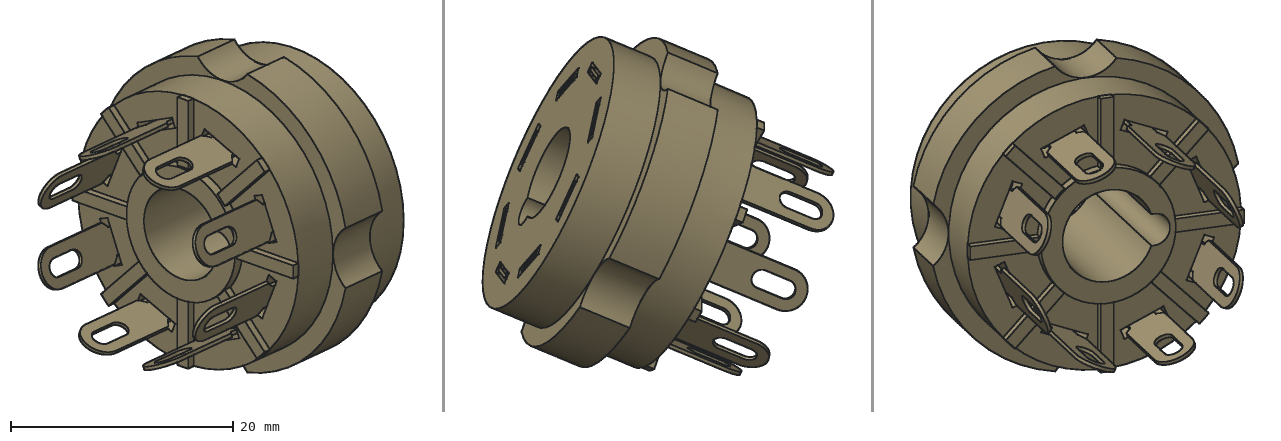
import cadquery as cq
import math


body_radius = 13.2
face_radius = 13.18
flange_start = 4.68
flange_end = 9.7
face_depth = 14.4
overall_depth = 24.0

flange_radius = 15.0
overall_width = 29.4
notch_floor = 13.23

boss_radius = 6.5
boss_depth = 15.4
bore_radius = 4.4
keyway_radius = 1.53

contact_count = 8
contact_step = 360 / contact_count
contact_pitch_radius = 10.0

rib_width = 1.3
rib_depth = 15.15

slot_length = 4.5
slot_width = 1.0

blade_width = 3.97
blade_thickness = 0.35
eyelet_width = 1.75
eyelet_spacing = 2.5
shoulder_depth = 14.95
shoulder_chamfer = 0.65
channel_width = 3.35
channel_depth = 12.65


def disc(radius, start, end):
    """Disc on the socket axis between two depths."""
    return cq.Workplane("XZ", origin=(0, -start, 0)).circle(radius).extrude(end - start)


def around_axis(shape, angle):
    """Turn a shape about the socket axis."""
    return shape.rotate((0, 0, 0), (0, 1, 0), angle)


def make_flange():
    """Flange ring whose notch corners set the overall width."""
    flange = disc(flange_radius, flange_start, flange_end)
    corner_height = overall_width / 2
    corner_offset = math.sqrt(flange_radius**2 - corner_height**2)
    notch_sag = corner_height - notch_floor
    notch_radius = (corner_offset**2 + notch_sag**2) / (2 * notch_sag)
    notch = disc(notch_radius, flange_start, flange_end).translate((0, 0, notch_floor + notch_radius))
    for angle in (0, 90, 180, 270):
        flange = flange.cut(around_axis(notch, angle))
    return flange


def make_ribs():
    """Radial ribs on the face, from the boss to the outer rim."""
    rim = disc(body_radius, face_depth, rib_depth)
    bar = cq.Workplane("XZ", origin=(0, -face_depth, 0))
    bar = bar.rect(2 * body_radius, rib_width).extrude(rib_depth - face_depth)
    bars = bar
    for index in range(1, contact_count // 2):
        bars = bars.union(around_axis(bar, index * contact_step))
    return bars.intersect(rim)


def make_housing():
    rear = disc(body_radius, 0, flange_end)
    front = (
        cq.Workplane("XZ", origin=(0, -flange_end, 0))
        .circle(body_radius)
        .workplane(offset=face_depth - flange_end)
        .circle(face_radius)
        .loft()
    )
    boss = disc(boss_radius, face_depth, boss_depth)
    housing = rear.union(front).union(make_flange()).union(make_ribs()).union(boss)

    bore = disc(bore_radius, 0, boss_depth)
    keyway = disc(keyway_radius, 0, boss_depth).translate((bore_radius, 0, 0))
    housing = housing.cut(bore).cut(keyway)

    slot = (
        cq.Workplane("XZ")
        .center(0, contact_pitch_radius)
        .rect(slot_length, slot_width)
        .extrude(face_depth)
    )
    for index in range(contact_count):
        housing = housing.cut(around_axis(slot, (index + 0.5) * contact_step))
    return housing.solids()


def make_contact(angle):
    """Solder contact: a round-ended blade, a narrow neck and a U-shaped channel inside the slot."""
    half_blade = blade_width / 2
    half_neck = half_blade - shoulder_chamfer
    half_channel = channel_width / 2
    neck_end = shoulder_depth - shoulder_chamfer
    tip_centre = overall_depth - half_blade

    strip = (
        cq.Workplane("XY", origin=(0, 0, contact_pitch_radius - blade_thickness / 2))
        .moveTo(half_channel, 0)
        .lineTo(half_channel, -channel_depth)
        .lineTo(half_neck, -channel_depth)
        .lineTo(half_neck, -neck_end)
        .lineTo(half_blade, -shoulder_depth)
        .lineTo(half_blade, -tip_centre)
        .threePointArc((0, -overall_depth), (-half_blade, -tip_centre))
        .lineTo(-half_blade, -shoulder_depth)
        .lineTo(-half_neck, -neck_end)
        .lineTo(-half_neck, -channel_depth)
        .lineTo(-half_channel, -channel_depth)
        .lineTo(-half_channel, 0)
        .close()
        .extrude(blade_thickness)
    )
    eyelet = (
        cq.Workplane("XY", origin=(0, 0, contact_pitch_radius))
        .center(0, eyelet_spacing / 2 - tip_centre)
        .slot2D(eyelet_spacing + eyelet_width, eyelet_width, 90)
        .extrude(blade_thickness, both=True)
    )
    contact = strip.cut(eyelet)

    wall_height = (slot_width + blade_thickness) / 2
    wall_middle = contact_pitch_radius - slot_width / 2 + wall_height / 2
    wall = cq.Workplane("XY").box(blade_thickness, channel_depth, wall_height)
    for side in (-1, 1):
        wall_offset = side * (channel_width - blade_thickness) / 2
        contact = contact.union(wall.translate((wall_offset, -channel_depth / 2, wall_middle)))
    return around_axis(contact, angle).solids()


housing = make_housing()
contacts = [make_contact((index + 0.5) * contact_step) for index in range(contact_count)]

result = cq.Compound.makeCompound([housing.val(), *[contact.val() for contact in contacts]])